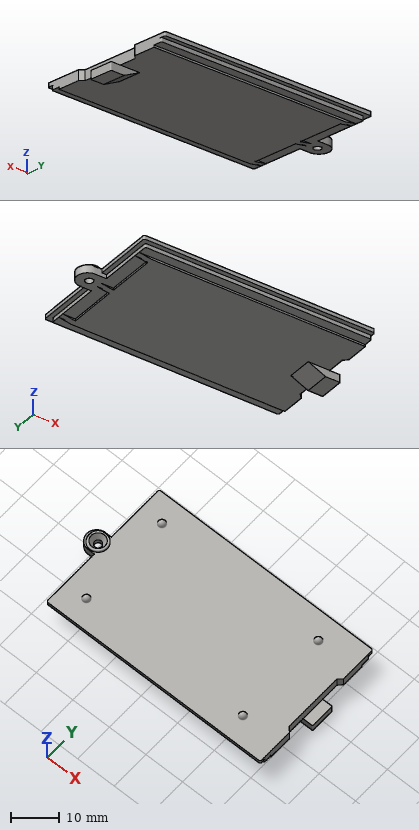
import cadquery as cq
import math


cover_length = 58.5
cover_width = 35.5
cover_thickness = 1.0
corner_radius = 0.4
step_inset = 1.15
step_thickness = 1.0
pad_width = 28.7
pad_thickness = 0.5

notch_depth = 1.0
notch_inner_half_width = 7.5

rib_width = 1.5
ramp_start = 1.3
ramp_length = 3.0

lug_radius = 2.7
lug_arc_center_x = -1.7
boss_center_x = -1.3
boss_radius = 2.5
boss_height = 0.5
boss_edge_radius = 0.2
screw_hole_radius = 0.95
countersink_radius = 1.9
countersink_depth = 1.3

bump_radius = 1.0
bump_base_fillet = 0.2
bump_center_x = 27.25
bump_spacing_x = 42.8
bump_spacing_y = 23.8

tail_width = 6.2
tail_thickness = 2.0
tail_overhang = 1.6
tail_ramp_start = 52.0
tail_flat_start = 56.4
tail_corner_radius = 0.2

cover_bottom = -cover_thickness
step_bottom = cover_bottom - step_thickness
pad_bottom = step_bottom - pad_thickness
tail_bottom = pad_bottom - tail_thickness
tail_end = cover_length + tail_overhang
pad_start = ramp_start + ramp_length


def slab(x_start, width, bottom, thickness):
    """Flat layer from x_start to the right edge, centred on the X axis."""
    return cq.Workplane("XY", origin=(x_start, 0, bottom)).box(
        cover_length - x_start, width, thickness, centered=(False, True, False)
    )


def extrude_across(points, width, center_y):
    """Side profile of (x, z) points, extruded along Y about center_y."""
    profile = cq.Workplane("XZ", origin=(0, center_y, 0)).polyline(points).close()
    return profile.extrude(width / 2, both=True)


def make_layers():
    cover = slab(0, cover_width, cover_bottom, cover_thickness)
    cover = cover.edges("|Z").fillet(corner_radius)
    step = slab(step_inset, cover_width - 2 * step_inset, step_bottom, step_thickness)
    step = step.edges("|Z").fillet(corner_radius)
    pad = slab(pad_start, pad_width, pad_bottom, pad_thickness)
    return cover.union(step).union(pad)


def make_ribs():
    """Three ramps at the middle and both ends of the pad's left edge."""
    profile = [(ramp_start, step_bottom), (pad_start, step_bottom), (pad_start, pad_bottom)]
    outer_rib_y = (pad_width - rib_width) / 2
    ribs = extrude_across(profile, rib_width, 0)
    for side in (-1, 1):
        ribs = ribs.union(extrude_across(profile, rib_width, side * outer_rib_y))
    return ribs


def make_notch():
    """Cutter with 45 degree ends that runs through all layers."""
    outer_half_width = notch_inner_half_width + notch_depth
    floor_x = cover_length - notch_depth
    outline = [
        (cover_length, -outer_half_width),
        (floor_x, -notch_inner_half_width),
        (floor_x, notch_inner_half_width),
        (cover_length, outer_half_width),
    ]
    return cq.Workplane("XY").polyline(outline).close().extrude(pad_bottom)


def make_lug():
    """Round-ended lug with a low round boss on top."""
    body = (
        cq.Workplane("XY")
        .moveTo(step_inset, -lug_radius)
        .lineTo(lug_arc_center_x, -lug_radius)
        .threePointArc((lug_arc_center_x - lug_radius, 0), (lug_arc_center_x, lug_radius))
        .lineTo(step_inset, lug_radius)
        .close()
        .extrude(step_bottom)
    )
    boss = cq.Workplane("XY", origin=(boss_center_x, 0, step_bottom)).circle(boss_radius)
    boss = boss.extrude(boss_height - step_bottom).faces(">Z").edges().fillet(boss_edge_radius)
    return body.union(boss)


def make_screw_hole():
    """Through hole with a conical countersink, as a revolved cutter."""
    cone_bottom = boss_height - countersink_depth
    return (
        cq.Workplane("XZ", origin=(boss_center_x, 0, 0))
        .moveTo(0, step_bottom)
        .lineTo(screw_hole_radius, step_bottom)
        .lineTo(screw_hole_radius, cone_bottom)
        .lineTo(countersink_radius, boss_height)
        .lineTo(0, boss_height)
        .close()
        .revolve(360, (0, 0, 0), (0, 1, 0))
    )


def make_bump():
    """Half ball standing on the cover, blended into it by a concave fillet."""
    center_distance = bump_radius + bump_base_fillet
    base_radius = math.sqrt(center_distance**2 - bump_base_fillet**2)
    tangent_scale = bump_radius / center_distance
    tangent_angle = math.asin(bump_base_fillet / center_distance)
    ball_mid_angle = (math.pi / 2 + tangent_angle) / 2
    fillet_mid_angle = (3 * math.pi / 2 + math.pi + tangent_angle) / 2
    ball_mid = (bump_radius * math.cos(ball_mid_angle), bump_radius * math.sin(ball_mid_angle))
    fillet_mid = (
        base_radius + bump_base_fillet * math.cos(fillet_mid_angle),
        bump_base_fillet + bump_base_fillet * math.sin(fillet_mid_angle),
    )
    tangent_point = (base_radius * tangent_scale, bump_base_fillet * tangent_scale)
    return (
        cq.Workplane("XZ")
        .moveTo(0, cover_bottom)
        .lineTo(base_radius, cover_bottom)
        .lineTo(base_radius, 0)
        .threePointArc(fillet_mid, tangent_point)
        .threePointArc(ball_mid, (0, bump_radius))
        .close()
        .revolve(360, (0, 0, 0), (0, 1, 0))
    )


def make_tail():
    """Hook with a sloped underside that reaches past the right edge."""
    profile = [
        (tail_ramp_start, pad_bottom),
        (tail_flat_start, tail_bottom),
        (tail_end, tail_bottom),
        (tail_end, pad_bottom),
    ]
    tail = extrude_across(profile, tail_width, 0)
    return tail.edges("|Z and >X").fillet(tail_corner_radius)


result = make_layers().union(make_ribs()).cut(make_notch())
result = result.union(make_tail()).union(make_lug()).cut(make_screw_hole())
bump = make_bump()
for x_side in (-1, 1):
    for y_side in (-1, 1):
        bump_x = bump_center_x + x_side * bump_spacing_x / 2
        bump_y = y_side * bump_spacing_y / 2
        result = result.union(bump.translate((bump_x, bump_y, 0)))